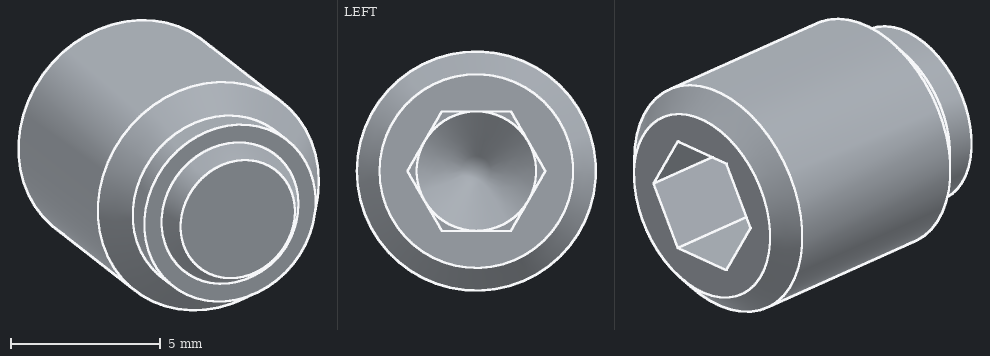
import cadquery as cq
import math

length = 10.3
body_radius = 4.002
socket_chamfer = 0.76

neck_radius = 3.1
neck_length = 1.02
taper_length = 0.88

tip_length = 0.68
ball_radius = 2.68

socket_width = 4.0
socket_depth = 4.0
drill_point_angle = 120.0

shoulder_x = length - tip_length
neck_x = shoulder_x - neck_length
taper_x = neck_x - taper_length


def ball_height(x):
    """Radius of the ball's cross-section at position x along the axis."""
    return math.sqrt(ball_radius**2 - (x - neck_x) ** 2)


def make_body():
    """Revolve the half outline around X."""
    arc_middle_x = (shoulder_x + length) / 2
    return (
        cq.Workplane("XY")
        .moveTo(0, 0)
        .lineTo(0, body_radius - socket_chamfer)
        .lineTo(socket_chamfer, body_radius)
        .lineTo(taper_x, body_radius)
        .lineTo(neck_x, neck_radius)
        .lineTo(shoulder_x, neck_radius)
        .lineTo(shoulder_x, ball_height(shoulder_x))
        .threePointArc(
            (arc_middle_x, ball_height(arc_middle_x)),
            (length, ball_height(length)),
        )
        .lineTo(length, 0)
        .close()
        .revolve(360, (0, 0, 0), (1, 0, 0))
    )


def make_socket():
    """Hexagon with flats facing +Z and -Z, ending in a drill-point cone."""
    across_corners = socket_width / math.cos(math.radians(30))
    hexagon = cq.Workplane("YZ").polygon(6, across_corners).extrude(socket_depth)

    cone_radius = socket_width / 2
    cone_depth = cone_radius / math.tan(math.radians(drill_point_angle / 2))
    cone = cq.Workplane(
        cq.Solid.makeCone(
            cone_radius, 0, cone_depth, cq.Vector(socket_depth, 0, 0), cq.Vector(1, 0, 0)
        )
    )
    return hexagon.union(cone)


result = make_body().cut(make_socket())